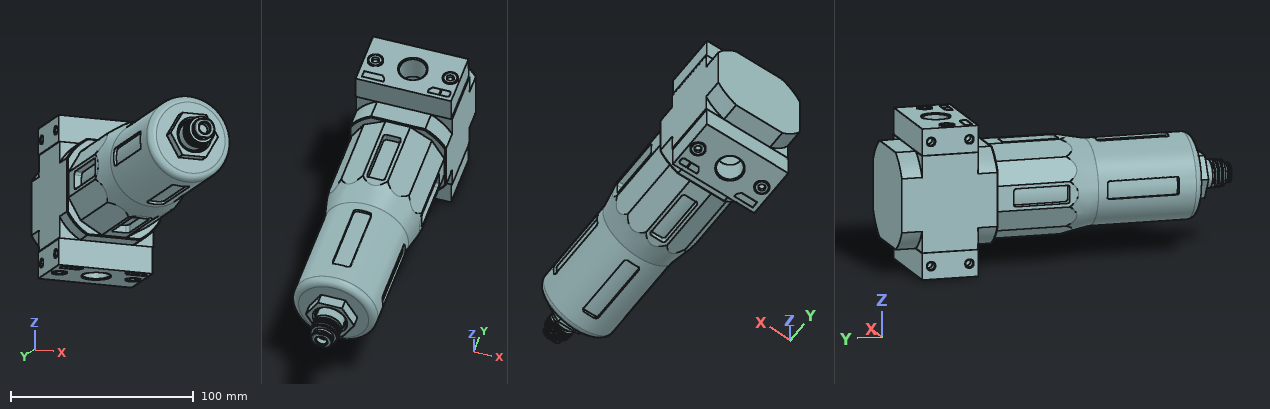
import cadquery as cq
import math


housing_half_width = 27.5
housing_half_height = 27.3
housing_half_length = 27.5
housing_corner_radius = 31.5
housing_front_chamfer = 0.5

plate_left = -28.0
plate_right = 27.0
plate_half_length = 16.0
height_over_plates = 85.0
plate_top = height_over_plates / 2
plate_thickness = plate_top - housing_half_height

port_diameter = 15.0
port_mouth_diameter = 16.4

side_hole_diameter = 4.1
side_hole_mouth_diameter = 5.0
side_hole_offset = 11.0
side_hole_depth = 4.9

mark_depth = 0.2
mark_inner = 12.7
mark_outer = 25.0
mark_back = -9.4
mark_front = -13.5
mark_bevel_x = 14.5
mark_bevel_y = -11.5
mark_split = 19.1
mark_split_gap = 0.5
mark_corner_radius = 1.4

screw_offset = 21.5
screw_diameter = 8.5
screw_chamfer = 0.5
screw_length = 5.9
socket_diameter = 4.1
socket_depth = 2.0
drill_point_angle = 118

guard_back = -housing_half_length
grip_sides = 12
grip_across_flats = 53.3
taper_slope = 0.2
sleeve_radius = 24.2
sleeve_start = -85.7
guard_end = -145.6
guard_end_fillet = 4.1

window_count = 4
window_width = 10.2
window_corner_radius = 1.5
upper_window = (-36.7, -68.7)
lower_window = (-91.0, -132.0)

bowl_radius = 22.6
bowl_end = -131.4

hex_sides = 6
hex_across_flats = 24.0
hex_length = 6.0
recess_diameter = 18.0
recess_mouth_diameter = 20.0
recess_depth = 3.0
neck_diameter = 16.0
neck_length = 4.1
tail_core_diameter = 11.5
tail_first_gap = 1.8
barb_length = 1.2
barb_gap = 1.2
barb_diameters = (15.8, 15.8, 15.0)
tail_end_length = 1.8
tip_groove_diameter = 8.5
tip_groove_length = 1.2
tip_diameter = 11.7
tip_length = 1.0
tip_crown_height = 0.4
tip_crown_mouth_diameter = 7.2
tip_across_flats = 10.2
bore_diameter = 6.0
bore_depth = 4.0


def box(x_range, y_range, z_range):
    """Box between two places along each axis."""
    size = [abs(b - a) for a, b in (x_range, y_range, z_range)]
    middle = [(a + b) / 2 for a, b in (x_range, y_range, z_range)]
    return cq.Workplane("XY").box(*size).translate(tuple(middle))


def rod(radius, start, end):
    """Cylinder along the Y axis from start down to end."""
    return cq.Workplane("XZ", origin=(0, start, 0)).circle(radius).extrude(start - end)


def prism(sides, across_flats, start, end):
    """Regular prism along the Y axis with flats facing +Z and -Z."""
    across_corners = across_flats / math.cos(math.pi / sides)
    bar = cq.Workplane("XZ", origin=(0, start, 0)).polygon(sides, across_corners).extrude(start - end)
    half_step = 180 / sides
    turn = 90 % (2 * half_step) - half_step
    return bar.rotate((0, 0, 0), (0, 1, 0), turn)


def pointed_cutter(diameter, depth):
    """Drill shape from the origin toward -Z: a cylinder that ends in a cone."""
    radius = diameter / 2
    tip_depth = depth + radius / math.tan(math.radians(drill_point_angle / 2))
    profile = cq.Workplane("XZ").polyline([(0, 0), (radius, 0), (radius, -depth), (0, -tip_depth)]).close()
    return profile.revolve(360, (0, 0, 0), (0, 1, 0))


def make_housing():
    """Block with rounded corners beyond the plates and the port through it."""
    length = 2 * housing_half_length
    y_range = (-housing_half_length, housing_half_length)
    x_range = (-housing_half_width, housing_half_width)
    z_range = (-housing_half_height, housing_half_height)
    rounded = box(x_range, y_range, z_range).intersect(
        rod(housing_corner_radius, housing_half_length, -housing_half_length)
    )
    rounded = rounded.faces("<Y").chamfer(housing_front_chamfer)
    middle = box(x_range, (-plate_half_length, plate_half_length), z_range)
    port = cq.Workplane("XY").circle(port_diameter / 2).extrude(length, both=True)
    return rounded.union(middle).cut(port)


def cut_marks(plate):
    """Engrave a pointed label outline on each side of the port."""
    pointed = [
        (mark_outer, mark_back),
        (mark_bevel_x, mark_back),
        (mark_inner, mark_bevel_y),
        (mark_inner, mark_front),
        (mark_outer, mark_front),
    ]
    floor = cq.Workplane("XY", origin=(0, 0, plate_top - mark_depth))
    label = floor.polyline(pointed).close().extrude(mark_depth)
    left_label = label.mirror("YZ")
    split = box(
        (mark_split, mark_split + mark_split_gap),
        (mark_front, mark_back),
        (plate_top - mark_depth, plate_top),
    )
    right_label = label.edges("|Z and >X").fillet(mark_corner_radius).cut(split)
    return plate.cut(left_label).cut(right_label)


def make_plate():
    """Plate on the +Z side."""
    plate = box(
        (plate_left, plate_right), (-plate_half_length, plate_half_length), (housing_half_height, plate_top)
    )
    plate = plate.cut(cq.Workplane("XY").circle(port_diameter / 2).extrude(plate_top))
    mouth = plate.faces(">Z").edges("%CIRCLE")
    plate = mouth.chamfer((port_mouth_diameter - port_diameter) / 2)

    for side in (-1, 1):
        hole = cq.Workplane("XY", origin=(side * screw_offset, 0, plate_top - screw_length))
        plate = plate.cut(hole.circle(screw_diameter / 2).extrude(screw_length))

    mouth_chamfer = (side_hole_mouth_diameter - side_hole_diameter) / 2
    for side in (-1, 1):
        drill = pointed_cutter(side_hole_diameter, side_hole_depth)
        countersink = cq.Solid.makeCone(
            side_hole_diameter / 2,
            side_hole_mouth_diameter / 2,
            mouth_chamfer,
            cq.Vector(0, 0, -mouth_chamfer),
        )
        drill = drill.union(cq.Workplane(countersink)).rotate((0, 0, 0), (0, 1, 0), -90)
        place = (plate_left, side * side_hole_offset, plate_top - plate_thickness / 2)
        plate = plate.cut(drill.translate(place))
    return cut_marks(plate)


def make_screw(side):
    """Screw in the +Z plate, with a round socket."""
    screw = cq.Workplane("XY").circle(screw_diameter / 2).extrude(-screw_length)
    screw = screw.faces(">Z").edges().chamfer(screw_chamfer)
    screw = screw.cut(pointed_cutter(socket_diameter, socket_depth))
    return screw.translate((side * screw_offset, 0, plate_top))


def make_bowl():
    """Bowl that fills the bore of the guard and shows through its windows."""
    return rod(bowl_radius, guard_back, bowl_end)


def window_cutter(window):
    """Rounded slot through the +Z wall of the guard."""
    start, end = window
    slot = box((-window_width / 2, window_width / 2), (end, start), (0, grip_across_flats))
    return slot.edges("|Z").fillet(window_corner_radius)


def make_guard():
    """Twelve-sided grip and round sleeve, bored for the bowl and cut by the windows."""
    grip = prism(grip_sides, grip_across_flats, guard_back, sleeve_start)
    cone_back_radius = sleeve_radius + taper_slope * (guard_back - sleeve_start)
    cone = cq.Workplane("XY").polyline(
        [(0, guard_back), (cone_back_radius, guard_back), (sleeve_radius, sleeve_start), (0, sleeve_start)]
    )
    cone = cone.close().revolve(360, (0, 0, 0), (0, 1, 0))
    sleeve = rod(sleeve_radius, sleeve_start, guard_end).faces("<Y").edges().fillet(guard_end_fillet)
    guard = grip.intersect(cone).union(sleeve)
    guard = guard.cut(rod(bowl_radius, guard_back, lower_window[1]))
    for window in (upper_window, lower_window):
        cutter = window_cutter(window)
        for number in range(window_count):
            angle = 360 / window_count * number
            guard = guard.cut(cutter.rotate((0, 0, 0), (0, 1, 0), angle))
    return guard


def barbed_tail_steps():
    """Diameter and length of each step of the tail, from the neck to the tip."""
    steps = [(neck_diameter, neck_length), (tail_core_diameter, tail_first_gap)]
    for barb_diameter in barb_diameters:
        steps += [(barb_diameter, barb_length), (tail_core_diameter, barb_gap)]
    steps[-1] = (tail_core_diameter, tail_end_length)
    steps.append((tip_groove_diameter, tip_groove_length))
    return steps


def make_drain():
    """Hexagon with a recess around the neck of a barbed hose tail."""
    hex_end = guard_end - hex_length
    drain = prism(hex_sides, hex_across_flats, guard_end, hex_end)
    recess = rod(recess_diameter / 2, hex_end + recess_depth, hex_end)
    drain = drain.cut(recess)
    drain = drain.faces("<Y").edges("%CIRCLE").chamfer((recess_mouth_diameter - recess_diameter) / 2)
    drain = drain.union(rod(neck_diameter / 2, hex_end + recess_depth, hex_end))

    place = hex_end
    for diameter, length in barbed_tail_steps():
        drain = drain.union(rod(diameter / 2, place, place - length))
        place -= length

    tip_end = place - tip_length
    half_flats = tip_across_flats / 2
    tip = rod(tip_diameter / 2, place, tip_end).intersect(
        box((-tip_diameter, tip_diameter), (tip_end, place), (-half_flats, half_flats))
    )
    crown_end = tip_end - tip_crown_height
    crown = cq.Solid.makeCone(
        half_flats,
        tip_crown_mouth_diameter / 2,
        tip_crown_height,
        cq.Vector(0, tip_end, 0),
        cq.Vector(0, -1, 0),
    )
    bore = rod(bore_diameter / 2, crown_end + bore_depth, crown_end)
    drain = drain.union(tip).union(cq.Workplane(crown)).cut(bore)
    mouth_chamfer = (tip_crown_mouth_diameter - bore_diameter) / 2
    mouth = cq.Solid.makeCone(
        tip_crown_mouth_diameter / 2,
        bore_diameter / 2,
        mouth_chamfer,
        cq.Vector(0, crown_end, 0),
        cq.Vector(0, 1, 0),
    )
    return drain.cut(cq.Workplane(mouth))


housing = make_housing()
guard = make_guard()
bowl = make_bowl()
drain = make_drain()

top_plate = make_plate()
bottom_plate = top_plate.mirror("XY")
top_screws = [make_screw(side) for side in (-1, 1)]
bottom_screws = [screw.mirror("XY") for screw in top_screws]

bodies = [housing, guard, bowl, drain, top_plate, bottom_plate, *top_screws, *bottom_screws]
result = cq.Compound.makeCompound([body.val() for body in bodies])